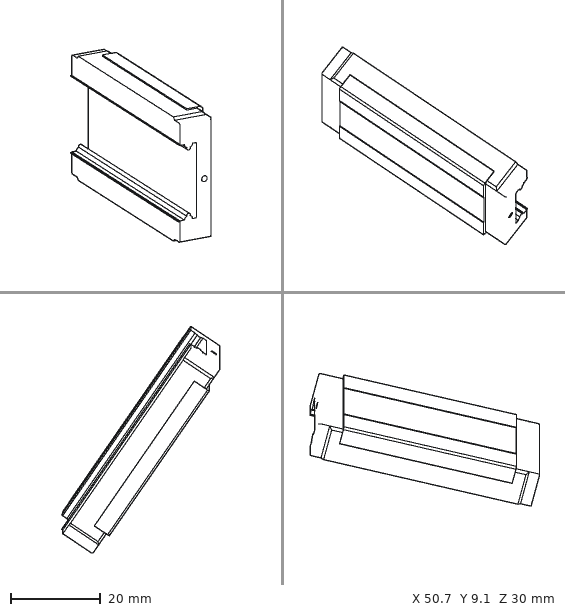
import cadquery as cq


length = 50.7
height = 30.0
lip_reach = 0.3
block_depth = 9.1 - lip_reach

block_length = 39.55
flange_width = 4.05
flange_rise = 0.3
block_chamfer = 0.5
back_relief_depth = 0.15
back_relief_height = 14.7

back_step = 0.75
body_depth = block_depth - back_step
body_height = height - 2 * flange_rise
cap_drop = 0.6
cap_height = body_height - 2 * cap_drop
cap_land = 2.5
cap_edge_radius = 0.4

channel_height = 17.85
channel_depth = 4.15
channel_corner_radius = 0.3

ridge_depth = 2.2
ridge_base_half = 1.05
ridge_neck_half = 0.45
ridge_neck_rise = 0.8
ridge_rise = 1.4
ridge_root = 0.25
shoulder_mid_half = 0.85
shoulder_mid_rise = 0.45

lip_thickness = 0.1
lip_setback = 0.15

oil_hole_diameter = 1.35
oil_hole_y = 6.2
oil_hole_depth = (length - block_length) / 2


def bar(size_x, size_y, size_z):
    """Box centred in X and Z, running from the front face to the given depth."""
    return cq.Workplane("XY").box(size_x, size_y, size_z, centered=(True, False, True))


def end_caps():
    """Full-length core with its end faces rounded along the back and both sides."""
    core = bar(length, body_depth, cap_height)
    return core.faces("<X or >X").edges("|Z or |Y").edges("not <Y").fillet(cap_edge_radius)


def raised_middle():
    """Taller middle of the body, sloping down at 45 degrees to the end caps and the back."""
    middle = bar(length - 2 * cap_land, body_depth, body_height)
    return middle.edges("|Y or (|X and >Y)").chamfer(cap_drop)


def steel_block():
    """Middle block with a flange along each long side and a shallow relief on its back."""
    block = bar(block_length, block_depth, body_height)
    flange = bar(block_length, flange_width, height).translate((0, block_depth - flange_width, 0))
    flange = flange.edges("|X and >Y").chamfer(block_chamfer)
    core = block.edges("|X and >Y").chamfer(block_chamfer)
    relief = bar(block_length, back_relief_depth, back_relief_height)
    return core.union(flange).cut(relief.translate((0, block_depth - back_relief_depth, 0)))


def channel():
    return bar(length, channel_depth, channel_height).edges("|X and >Y").fillet(channel_corner_radius)


def upper_ridge():
    """Ridge hanging from the upper channel wall: two rounded shoulders and a rounded tip."""
    wall = channel_height / 2

    def at(side, half_width, rise):
        return (ridge_depth + side * half_width, wall - rise)

    profile = (
        cq.Workplane("YZ", origin=(-length / 2, 0, 0))
        .moveTo(*at(-1, ridge_base_half, -ridge_root))
        .lineTo(*at(-1, ridge_base_half, 0))
        .threePointArc(at(-1, shoulder_mid_half, shoulder_mid_rise), at(-1, ridge_neck_half, ridge_neck_rise))
        .threePointArc(at(0, 0, ridge_rise), at(1, ridge_neck_half, ridge_neck_rise))
        .threePointArc(at(1, shoulder_mid_half, shoulder_mid_rise), at(1, ridge_base_half, 0))
        .lineTo(*at(1, ridge_base_half, -ridge_root))
        .close()
    )
    return profile.extrude(length)


def upper_lip():
    """Thin lip rooted in the body and reaching out of the front face."""
    lip = bar(length, 2 * lip_reach, lip_thickness)
    return lip.translate((0, -lip_reach, channel_height / 2 + lip_setback + lip_thickness / 2))


def oil_holes():
    """Blind holes reaching from both end faces to the steel block."""
    hole = (
        cq.Workplane("YZ", origin=(-length / 2, 0, 0))
        .center(oil_hole_y, 0)
        .circle(oil_hole_diameter / 2)
        .extrude(oil_hole_depth)
    )
    return hole.union(hole.mirror("YZ"))


result = end_caps().union(raised_middle()).union(steel_block()).cut(channel())
for detail in (upper_ridge(), upper_lip()):
    result = result.union(detail).union(detail.mirror("XY"))
result = result.cut(oil_holes())